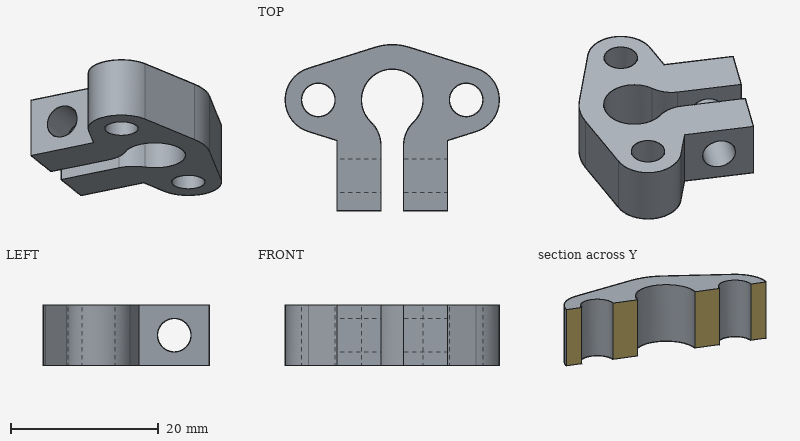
import cadquery as cq
import math

thickness = 8.2
hub_radius = 7.5
ear_radius = 4.5
ear_offset = 10.0
leg_half_width = 7.5
leg_end_y = -15.0

bore_radius = 4.15
slot_half_width = 1.5
slot_blend_radius = 4.5

ear_hole_diameter = 4.5
clamp_hole_diameter = 4.5

normal_x = (hub_radius - ear_radius) / ear_offset
normal_y = math.sqrt(1 - normal_x**2)

leg_root_y = -(hub_radius - normal_x * leg_half_width) / normal_y
clamp_hole_y = (leg_root_y + leg_end_y) / 2


def make_body():
    """Rounded hub with two tapered ears above a straight pair of legs."""
    hub_tangent_x = hub_radius * normal_x
    hub_tangent_y = hub_radius * normal_y
    ear_tangent_x = ear_offset + ear_radius * normal_x
    ear_tangent_y = ear_radius * normal_y
    ear_tip_x = ear_offset + ear_radius
    return (
        cq.Workplane("XY")
        .moveTo(-hub_tangent_x, hub_tangent_y)
        .threePointArc((0, hub_radius), (hub_tangent_x, hub_tangent_y))
        .lineTo(ear_tangent_x, ear_tangent_y)
        .threePointArc((ear_tip_x, 0), (ear_tangent_x, -ear_tangent_y))
        .lineTo(leg_half_width, leg_root_y)
        .lineTo(leg_half_width, leg_end_y)
        .lineTo(-leg_half_width, leg_end_y)
        .lineTo(-leg_half_width, leg_root_y)
        .lineTo(-ear_tangent_x, -ear_tangent_y)
        .threePointArc((-ear_tip_x, 0), (-ear_tangent_x, ear_tangent_y))
        .close()
        .extrude(thickness)
    )


def make_clamp_opening():
    """Bore that runs out through a slot, with rounded shoulders between them."""
    blend_x = slot_half_width + slot_blend_radius
    center_distance = bore_radius + slot_blend_radius
    blend_y = -math.sqrt(center_distance**2 - blend_x**2)
    touch_x = blend_x * bore_radius / center_distance
    touch_y = blend_y * bore_radius / center_distance

    start_angle = math.atan2(touch_y - blend_y, touch_x - blend_x)
    middle_angle = (start_angle + math.pi) / 2
    middle_x = blend_x + slot_blend_radius * math.cos(middle_angle)
    middle_y = blend_y + slot_blend_radius * math.sin(middle_angle)
    return (
        cq.Workplane("XY")
        .moveTo(-touch_x, touch_y)
        .threePointArc((0, bore_radius), (touch_x, touch_y))
        .threePointArc((middle_x, middle_y), (slot_half_width, blend_y))
        .lineTo(slot_half_width, leg_end_y)
        .lineTo(-slot_half_width, leg_end_y)
        .lineTo(-slot_half_width, blend_y)
        .threePointArc((-middle_x, middle_y), (-touch_x, touch_y))
        .close()
        .extrude(thickness)
    )


def make_ear_holes():
    """Vertical mounting hole through each ear."""
    return (
        cq.Workplane("XY")
        .pushPoints([(-ear_offset, 0), (ear_offset, 0)])
        .circle(ear_hole_diameter / 2)
        .extrude(thickness)
    )


def make_clamp_hole():
    """Clamping screw hole running along X through both legs."""
    return (
        cq.Workplane("YZ")
        .center(clamp_hole_y, thickness / 2)
        .circle(clamp_hole_diameter / 2)
        .extrude(leg_half_width, both=True)
    )


result = (
    make_body()
    .cut(make_clamp_opening())
    .cut(make_ear_holes())
    .cut(make_clamp_hole())
)